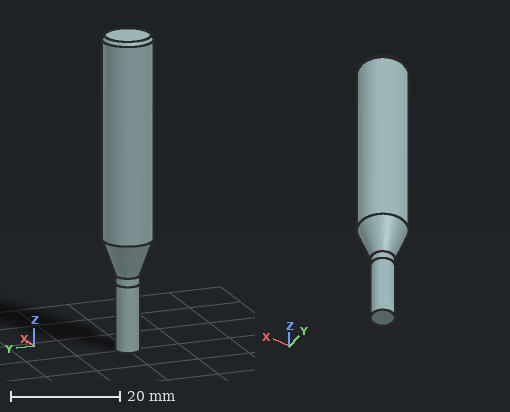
import cadquery as cq

total_length = 60.3

shank_diameter = 9.5
chamfer_width = 0.5
chamfer_height = 0.85
taper_top = 21.2
taper_bottom = 14.3

tip_diameter = 4.5
tip_length = 12.65

shank_radius = shank_diameter / 2
tip_radius = tip_diameter / 2


def make_shank():
    """Revolved shank: short neck, cone, cylinder and a chamfered top end."""
    return (
        cq.Workplane("XZ")
        .moveTo(0, tip_length)
        .lineTo(tip_radius, tip_length)
        .lineTo(tip_radius, taper_bottom)
        .lineTo(shank_radius, taper_top)
        .lineTo(shank_radius, total_length - chamfer_height)
        .lineTo(shank_radius - chamfer_width, total_length)
        .lineTo(0, total_length)
        .close()
        .revolve(360, (0, 0, 0), (0, 1, 0))
    )


def make_tip():
    """Plain cylindrical tip, butted against the end of the neck."""
    return cq.Workplane("XY").circle(tip_radius).extrude(tip_length)


shank = make_shank()
tip = make_tip()
result = cq.Compound.makeCompound([shank.val(), tip.val()])